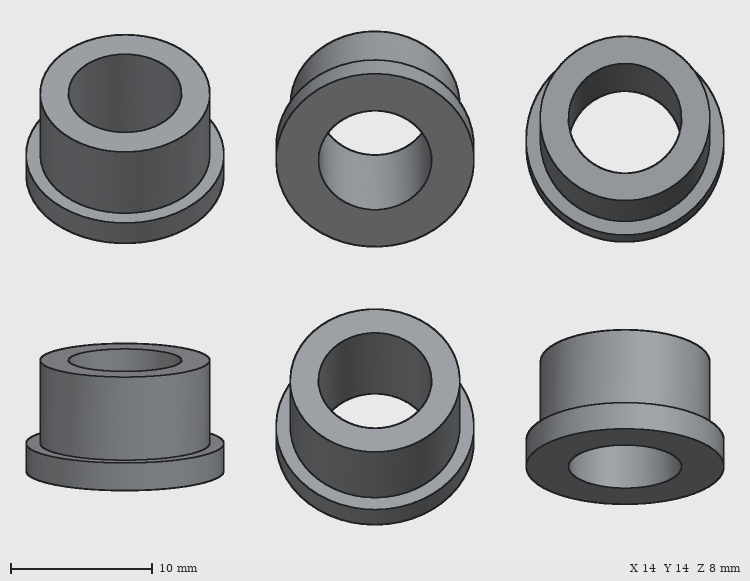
import cadquery as cq

flange_diameter = 14.0
sleeve_diameter = 12.0
bore_diameter = 8.0
total_height = 8.0
flange_thickness = 2.0

flange = cq.Workplane("XY").circle(flange_diameter / 2).extrude(flange_thickness)
sleeve = cq.Workplane("XY").circle(sleeve_diameter / 2).extrude(total_height)
bore = cq.Workplane("XY").circle(bore_diameter / 2).extrude(total_height)

result = flange.union(sleeve).cut(bore)